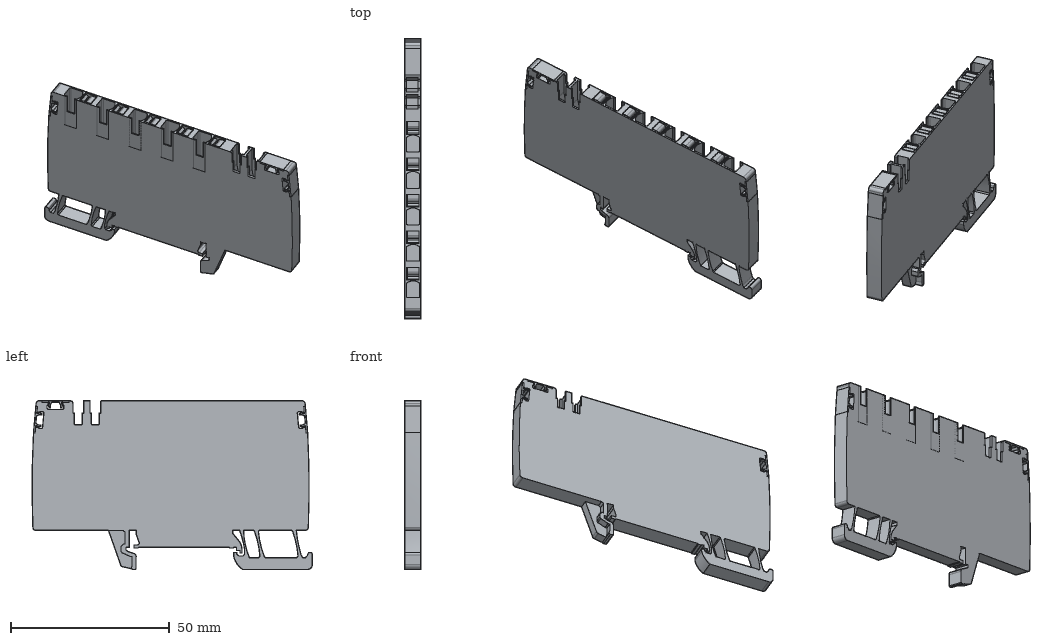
import cadquery as cq
import math


thickness = 5.1
side_x = thickness / 2
case_height = 40.85
half_length = 43.66
foot_end = -44.69
foot_bottom = -12.34

bottom_half = 43.38
bulge_z = 13.5
shoulder_half = 43.22
shoulder_z = 30.76
top_half = 42.33
corner_radius = 1.0
lean = math.atan((shoulder_half - top_half) / (case_height - shoulder_z))

marker_length = 8.4
marker_plate = 0.55
marker_side_z = shoulder_z + marker_length / 2 * math.cos(lean)
top_marker_y = 36.28
marker_window_depth = 2.7
window_lip_half = 2.32
window_half = 2.6
window_lip_depth = 1.3
window_corner = 0.35
leg_inner_root = 1.15
leg_inner_tip = 1.6
leg_outer = 2.0
leg_hook = 2.25
leg_hook_depth = 1.35
leg_depth = 2.25

notch_centres = (29.08, 23.7)
notch_width = 3.3
notch_foot_width = 2.45
notch_step_z = 36.9
notch_floor = 33.3
notch_foot_radius = 0.3
notch_outer_rounds = (0.9, 0.4)
shaft_length = 4.55
shaft_floor_length = 2.5
shaft_x_min = -2.0
shaft_x_max = 1.73
shaft_taper_top = 32.6
shaft_taper_bottom = 27.0

terminal_count = 5
terminal_pitch = 11.48
first_clamp_y = 15.45
clamp_length = 4.0
clamp_depth = 8.0
clamp_recess = 0.2
clamp_pocket_x_min = -2.0
clamp_x_min = -1.7
clamp_x_max = 2.0
clamp_flat = 1.5
clamp_slot_width = 0.5
clamp_slot_depth = 1.6
clamp_dip_radius = 0.85
clamp_ramp_drop = 0.7
clamp_land = 0.35
entry_offset = -4.9
entry_length = 5.3
entry_arc_rise = 0.8
entry_x_min = -2.0
entry_x_max = 2.2
entry_corner = 0.4
entry_depth = 12.0
entry_gap_width = 2.6
entry_gap_depth = 6.0

rail_seat_z = -5.35
seat_lip_z = -5.6
seat_hook_z = -4.55
root_z = 1.0
latch_web_recess = 2.2
latch_face_y = 10.82
spring_inner_y = 12.95
spring_outer_y = 12.15
spring_root_y = 14.3
finger_root_y = -19.58
finger_y = -20.7
finger_tip_y = -22.5
finger_tip_z = -7.2
foot_nose_y = -19.85
foot_root_y = -21.7
foot_web_y = -23.25
foot_heel_y = -39.65
slot_bottom = -8.55


def yz_plane(x):
    """Sketch plane with local axes along Y and Z."""
    return cq.Workplane("YZ", origin=(x, 0, 0))


def full_width():
    return yz_plane(-side_x)


def block(x_min, x_max, y_min, y_max, z_min, z_max):
    size = (x_max - x_min, y_max - y_min, z_max - z_min)
    return cq.Workplane("XY").box(*size, centered=False).translate((x_min, y_min, z_min))


def marker_plane(y, z, outward_y, outward_z):
    """Local x runs along the marker, local y points out of the case."""
    along = (0, outward_z, -outward_y)
    return cq.Plane(origin=(-side_x, y, z), xDir=along, normal=(1, 0, 0))


face_run = (marker_side_z - shoulder_z) * math.tan(lean)
marker_side_y = shoulder_half - face_run
marker_planes = [
    marker_plane(top_marker_y, case_height, 0, 1),
    marker_plane(marker_side_y, marker_side_z, math.cos(lean), math.sin(lean)),
    marker_plane(-marker_side_y, marker_side_z, -math.cos(lean), math.sin(lean)),
]


def marker_plate_solid(plane):
    plate = cq.Workplane(plane).center(0, -marker_plate / 2)
    return plate.rect(marker_length, marker_plate).extrude(thickness)


def marker_seat(plane):
    """Plate recess plus the undercut window that the legs snap into."""
    lip = cq.Workplane(plane).center(0, -window_lip_depth / 2)
    lip = lip.rect(2 * window_lip_half, window_lip_depth).extrude(thickness)
    room_depth = marker_window_depth - window_lip_depth
    room = cq.Workplane(plane).center(0, -window_lip_depth - room_depth / 2)
    room = room.rect(2 * window_half, room_depth).extrude(thickness)
    room = room.edges("|X").fillet(window_corner)
    return marker_plate_solid(plane).union(lip).union(room)


def marker(plane):
    """Plate with two hooked legs on its inner face."""
    body = marker_plate_solid(plane)
    for side in (-1, 1):
        leg = [
            (side * leg_inner_root, -marker_plate),
            (side * leg_outer, -marker_plate),
            (side * leg_outer, -(marker_plate + leg_hook_depth) / 2),
            (side * leg_hook, -leg_hook_depth),
            (side * leg_outer, -leg_depth),
            (side * leg_inner_tip, -leg_depth),
            (side * leg_inner_tip, -leg_hook_depth),
        ]
        body = body.union(cq.Workplane(plane).polyline(leg).close().extrude(thickness))
    return body


def case_block():
    body = (
        full_width()
        .moveTo(-bottom_half, 0)
        .lineTo(bottom_half, 0)
        .threePointArc((half_length, bulge_z), (shoulder_half, shoulder_z))
        .lineTo(top_half, case_height)
        .lineTo(-top_half, case_height)
        .lineTo(-shoulder_half, shoulder_z)
        .threePointArc((-half_length, bulge_z), (-bottom_half, 0))
        .close()
        .extrude(thickness)
    )
    return body.edges("|X and (>Z or <Z)").fillet(corner_radius)


def notch(y):
    """Stepped cut across the full thickness, narrower at its foot."""
    upper = block(-side_x, side_x, y - notch_width / 2, y + notch_width / 2, notch_step_z, case_height)
    foot_half = notch_foot_width / 2
    lower = block(-side_x, side_x, y - foot_half, y + foot_half, notch_floor, case_height)
    lower = lower.edges("|X and <Z").fillet(notch_foot_radius)
    return upper.union(lower)


def top_edge_near(body, y):
    return body.edges(cq.selectors.NearestToPointSelector((0, y, case_height)))


def notched(body):
    """Cut both notches and round the top edges on either side of the pair."""
    for centre in notch_centres:
        body = body.cut(notch(centre))
    first_edge = notch_centres[0] + notch_width / 2
    last_edge = notch_centres[1] - notch_width / 2
    for edge_y, radius in zip((first_edge, last_edge), notch_outer_rounds):
        body = top_edge_near(body, edge_y).fillet(radius)
    return body


def bridge_shaft(y):
    """Shaft between the side walls, tapering to a smaller floor below the notch."""
    half = shaft_length / 2
    floor_half = shaft_floor_length / 2
    return (
        yz_plane(shaft_x_min)
        .polyline([
            (y - half, case_height),
            (y - half, shaft_taper_top),
            (y - floor_half, shaft_taper_bottom),
            (y + floor_half, shaft_taper_bottom),
            (y + half, shaft_taper_top),
            (y + half, case_height),
        ])
        .close()
        .extrude(shaft_x_max - shaft_x_min)
    )


def clamp_pocket(y):
    half = clamp_length / 2
    floor = case_height - clamp_depth
    return block(clamp_pocket_x_min, clamp_x_max, y - half, y + half, floor, case_height)


def wire_entry(y):
    """Pocket with one arched end, open to the +X side through a gap in its thin wall."""
    half = entry_length / 2
    arch_foot = y + half - entry_arc_rise
    middle_x = (entry_x_min + entry_x_max) / 2
    pocket = (
        cq.Workplane("XY", origin=(0, 0, case_height - entry_depth))
        .moveTo(entry_x_min, y - half)
        .lineTo(entry_x_max, y - half)
        .lineTo(entry_x_max, arch_foot)
        .threePointArc((middle_x, y + half), (entry_x_min, arch_foot))
        .close()
        .extrude(entry_depth)
    )
    pocket = pocket.edges("|Z and <Y").fillet(entry_corner)
    gap_half = entry_gap_width / 2
    gap_floor = case_height - entry_gap_depth
    gap = block(middle_x, side_x, y - gap_half, y + gap_half, gap_floor, case_height)
    return pocket.union(gap)


def rail_seat():
    """Shallow step that rests on the rail, with a lip at each end and a hooked finger."""
    return (
        full_width()
        .moveTo(latch_face_y, root_z)
        .lineTo(latch_face_y, -1.35)
        .lineTo(10.0, -3.7)
        .threePointArc((9.95, -4.2), (10.4, seat_hook_z))
        .lineTo(11.6, seat_hook_z)
        .lineTo(11.6, seat_lip_z)
        .lineTo(10.3, seat_lip_z)
        .lineTo(10.0, rail_seat_z)
        .lineTo(-18.5, rail_seat_z)
        .lineTo(-18.75, seat_lip_z)
        .lineTo(-19.65, seat_lip_z)
        .lineTo(-19.9, rail_seat_z)
        .lineTo(finger_y, rail_seat_z)
        .lineTo(finger_y, -6.4)
        .lineTo(-21.8, -6.4)
        .lineTo(-21.8, finger_tip_z)
        .lineTo(finger_tip_y, finger_tip_z)
        .lineTo(finger_tip_y, -5.6)
        .threePointArc((-22.25, -4.6), (-21.72, -3.55))
        .lineTo(finger_root_y, -0.9)
        .lineTo(finger_root_y, root_z)
        .close()
        .extrude(thickness)
    )


def latch_web():
    """Thin web of the latch, set back from the -X side."""
    return (
        yz_plane(-side_x + latch_web_recess)
        .moveTo(19.6, root_z)
        .lineTo(19.6, 0)
        .lineTo(15.75, -10.9)
        .threePointArc((15.5, -11.3), (15.1, -11.48))
        .lineTo(11.9, -12.2)
        .lineTo(11.9, -7.8)
        .lineTo(14.0, -6.4)
        .lineTo(14.0, root_z)
        .close()
        .extrude(thickness - latch_web_recess)
    )


def latch_spring():
    """Full-width band along the rail side of the latch."""
    return (
        full_width()
        .moveTo(spring_inner_y, root_z)
        .lineTo(spring_inner_y, rail_seat_z)
        .lineTo(14.0, rail_seat_z)
        .lineTo(14.0, -6.2)
        .lineTo(13.6, -6.55)
        .lineTo(11.6, -7.25)
        .threePointArc((11.0, -7.65), (latch_face_y, -8.3))
        .lineTo(latch_face_y, -12.05)
        .lineTo(11.1, foot_bottom)
        .lineTo(11.9, foot_bottom)
        .lineTo(12.4, -12.1)
        .lineTo(spring_outer_y, -10.95)
        .lineTo(spring_outer_y, -8.25)
        .lineTo(12.75, -8.2)
        .lineTo(15.3, -7.05)
        .lineTo(15.6, -6.65)
        .lineTo(15.6, -5.1)
        .lineTo(14.9, -4.3)
        .lineTo(spring_root_y, -4.3)
        .lineTo(spring_root_y, -0.6)
        .lineTo(15.0, 0)
        .lineTo(15.0, root_z)
        .close()
        .extrude(thickness)
    )


def foot():
    """Rail foot hanging on three curved webs."""
    body = (
        full_width()
        .moveTo(foot_root_y, root_z)
        .lineTo(foot_root_y, 0)
        .threePointArc((-22.65, -2.9), (foot_web_y, -5.9))
        .lineTo(foot_web_y, -7.55)
        .lineTo(-22.85, -8.0)
        .lineTo(-21.5, -8.0)
        .lineTo(-20.9, -7.5)
        .lineTo(-20.85, -6.95)
        .lineTo(foot_nose_y, -6.95)
        .lineTo(foot_nose_y, -8.1)
        .threePointArc((-20.75, -10.35), (-22.7, foot_bottom))
        .lineTo(-43.1, foot_bottom)
        .threePointArc((-44.22, -11.87), (foot_end, -10.75))
        .lineTo(foot_end, -7.75)
        .threePointArc((-44.0, -6.92), (-43.25, -7.3))
        .lineTo(-43.05, -7.9)
        .lineTo(-42.5, slot_bottom)
        .lineTo(-41.6, slot_bottom)
        .lineTo(-41.15, -7.75)
        .threePointArc((-40.2, -3.9), (foot_heel_y, 0))
        .lineTo(foot_heel_y, root_z)
        .close()
        .extrude(thickness)
    )
    narrow_window = (
        full_width()
        .moveTo(-23.05, 0)
        .threePointArc((-23.5, -4.2), (-24.85, slot_bottom))
        .lineTo(-27.7, slot_bottom)
        .lineTo(-28.1, -8.2)
        .threePointArc((-27.5, -4.0), (-26.4, -0.3))
        .lineTo(-26.1, 0)
        .close()
        .extrude(thickness)
    )
    wide_window = (
        full_width()
        .moveTo(-28.0, 0)
        .lineTo(-27.7, -0.3)
        .threePointArc((-28.3, -4.2), (-29.55, -8.25))
        .lineTo(-29.85, slot_bottom)
        .lineTo(-39.75, slot_bottom)
        .lineTo(-40.1, -8.1)
        .threePointArc((-39.5, -4.0), (-38.4, -0.3))
        .lineTo(-38.1, 0)
        .close()
        .extrude(thickness)
    )
    return body.cut(narrow_window).cut(wide_window)


def clamp(y):
    """Insert with a screwdriver slot between a rounded dip and a ramp."""
    half = clamp_length / 2
    floor = case_height - clamp_depth
    top = case_height - clamp_recess
    slot_top = top - clamp_dip_radius
    slot_far = y + half - clamp_flat - clamp_dip_radius
    slot_near = slot_far - clamp_slot_width
    bulge = clamp_dip_radius * math.sqrt(0.5)
    return (
        yz_plane(clamp_x_min)
        .moveTo(y - half, floor)
        .lineTo(y + half, floor)
        .lineTo(y + half, top)
        .lineTo(slot_far + clamp_dip_radius, top)
        .threePointArc((slot_far + clamp_dip_radius - bulge, slot_top + bulge), (slot_far, slot_top))
        .lineTo(slot_far, top - clamp_slot_depth)
        .lineTo(slot_near, top - clamp_slot_depth)
        .lineTo(slot_near, top - clamp_ramp_drop)
        .lineTo(y - half + clamp_land, top)
        .lineTo(y - half, top)
        .close()
        .extrude(clamp_x_max - clamp_x_min)
    )


clamp_centres = [first_clamp_y - i * terminal_pitch for i in range(terminal_count)]

housing = notched(case_block())
for part in (rail_seat(), latch_web(), latch_spring(), foot()):
    housing = housing.union(part)
for plane in marker_planes:
    housing = housing.cut(marker_seat(plane))
for centre in notch_centres:
    housing = housing.cut(bridge_shaft(centre))
for centre in clamp_centres:
    housing = housing.cut(clamp_pocket(centre))
    housing = housing.cut(wire_entry(centre + entry_offset))

markers = [marker(plane) for plane in marker_planes]
clamps = [clamp(centre) for centre in clamp_centres]

bodies = [housing] + markers + clamps
result = cq.Compound.makeCompound([body.solids().val() for body in bodies])